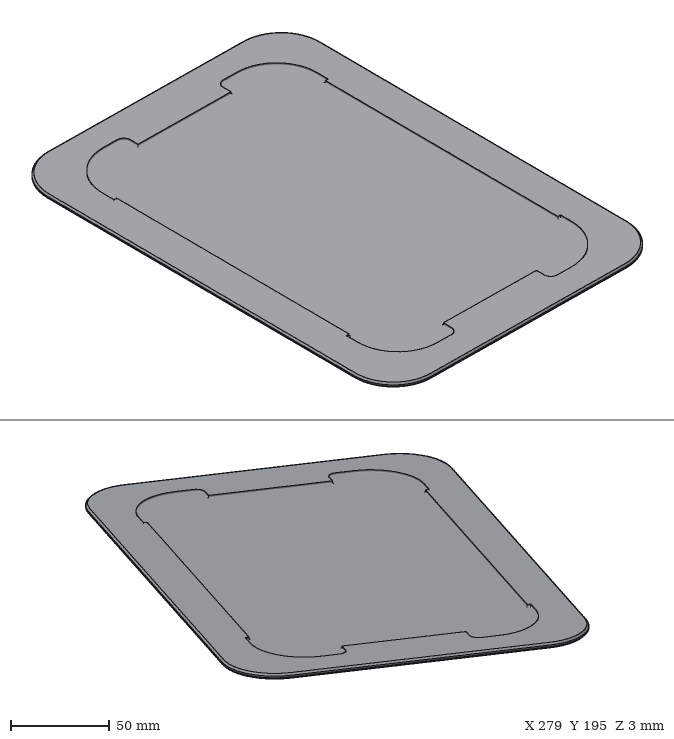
import cadquery as cq

length = 279.0
width = 195.0
thickness = 3.0
corner_radius = 28.2
edge_chamfer = 1.05

recess_depth = 1.28
recess_floor_fillet = 0.5
recess_length = 242.7
recess_width = 153.0
recess_corner_radius = 28.7
end_tab_reach = 10.3
end_tab_width = 66.5
end_tab_root_radius = 4.7
root_margin = 0.3
side_tab_reach = 2.0
side_tab_length = 169.0


def make_plate():
    """Rounded rectangular plate with both rims chamfered."""
    plate = cq.Workplane("XY").rect(length, width).extrude(thickness)
    plate = plate.edges("|Z").fillet(corner_radius)
    return plate.faces("<Z or >Z").edges().chamfer(edge_chamfer)


def make_tab(center_x, center_y, size_x, size_y):
    """Block that stays standing inside the recess, as high as the recess is deep."""
    return cq.Workplane("XY").center(center_x, center_y).rect(size_x, size_y).extrude(recess_depth)


def make_recess():
    """Solid to be removed from the top face, standing on Z = 0."""
    recess = cq.Workplane("XY").rect(recess_length, recess_width).extrude(recess_depth)
    recess = recess.edges("|Z").fillet(recess_corner_radius)
    for side in (-1, 1):
        end_x = side * recess_length / 2
        side_y = side * recess_width / 2
        recess = recess.cut(make_tab(end_x, 0, 2 * end_tab_reach, end_tab_width))
        recess = recess.cut(make_tab(0, side_y, side_tab_length, 2 * side_tab_reach))
    root_box = cq.selectors.BoxSelector(
        (-recess_length, -end_tab_width / 2 - root_margin, 0),
        (recess_length, end_tab_width / 2 + root_margin, recess_depth),
    )
    recess = recess.edges("|Z and (<X or >X)").edges(root_box).fillet(end_tab_root_radius)
    return recess.faces("<Z").edges().fillet(recess_floor_fillet)


recess = make_recess().translate((0, 0, thickness - recess_depth))
result = make_plate().cut(recess)